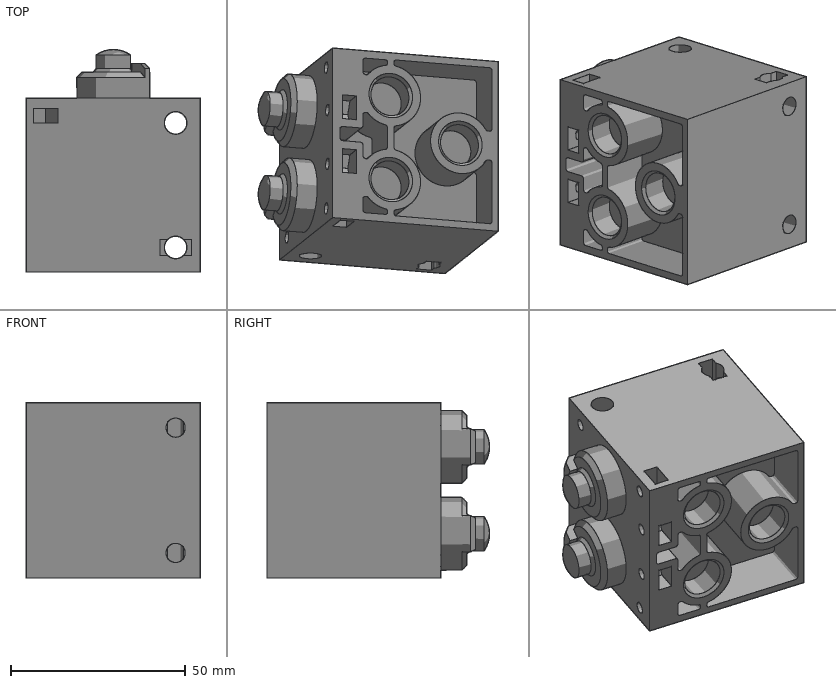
import cadquery as cq
import math

WIDTH = 50.0
LENGTH = 49.95
HEIGHT = 50.4
HALF_HEIGHT = HEIGHT / 2
OVERALL_LENGTH = 64

PORT_SPACING = 24.95
PORT_ROW_Y = 32.45
SINGLE_PORT_Y = 11.45
PORT_CENTRES = [
    (PORT_ROW_Y, PORT_SPACING / 2),
    (PORT_ROW_Y, -PORT_SPACING / 2),
    (SINGLE_PORT_Y, 0),
]
PORT_DIAMETER = 11.45
PORT_CHAMFER = 0.8
PORT_DEPTH = 8.0
BOSS_DIAMETER = 18.0

HOLLOW_DEPTH = 14.6
HOLLOW_FILLET = 0.8
NARROW_END_FILLET = 0.7
WALL_Y = 1.9
MAIN_HOLLOW_HALF_HEIGHT = 23.15
BACK_HOLLOW_HALF_HEIGHT = 22.95
RIB = 2.0
HOLLOW_BACK_Y = 40.8
BOSS_WEB = 11.25
SINGLE_BOSS_WEB = 8.6
STEM_END_Y = 47.7
STEM_WIDTH = 4.2

SLOT_LENGTH = 7.05
SLOT_WIDTH = 4.15
SLOT_Y = 44.9
SLOT_STRAIGHT_DEPTH = 6.0
SLOT_BOTTOM_SLOPE = 30
SIDE_SLOT_Z = 8.0
END_SLOT_X = 5.6
BACK_HOLE_DIAMETER = 3.25
END_LATCH_HOLE_DEPTH = 4.3
END_LATCH_HOLE_SHIFT = 0.5
SIDE_LATCH_HOLE_DEPTH = 5.0

MOUNT_DIAMETER = 6.4
MOUNT_INSET = 7.1
MOUNT_X = WIDTH - MOUNT_INSET
MOUNT_BACK_Y = LENGTH - MOUNT_INSET
NUT_POCKET_LENGTH = 9.0
NUT_POCKET_WIDTH = 4.5
NUT_POCKET_DEPTH = 10.25
CROSS_HOLE_DIAMETER = 5.5
CROSS_HOLE_Z = 18.0
BACK_HOLE_DEPTH = 5.0

PLUNGER_X = WIDTH / 2
CAP_RADIUS = 21.0 / 2
CAP_HEIGHT = 7.5
CAP_CHAMFER = 1.5
COLLAR_RISE = 1.0
COLLAR_STEP = 0.8
PIN_RADIUS = 10.0 / 2
PIN_SHOULDER = 12.4
TAB_HEIGHT = 10.0
TAB_ANGLE = 60
TAB_INNER_RADIUS = 6.1


def side_plane():
    """Sketch plane on the X = 0 face: local x is Y, local y is Z, pointing into the block."""
    return cq.Workplane("YZ")


def box_between(y0, y1, z0, z1):
    """Box sunk into the X = 0 face to the hollow depth."""
    box = side_plane().rect(y1 - y0, z1 - z0).extrude(HOLLOW_DEPTH)
    return box.translate((0, (y0 + y1) / 2, (z0 + z1) / 2))


def make_hollows():
    front_y = PORT_ROW_Y - RIB / 2
    back_y = PORT_ROW_Y + RIB / 2
    main_z = MAIN_HOLLOW_HALF_HEIGHT
    back_z = BACK_HOLLOW_HALF_HEIGHT

    hollows = box_between(WALL_Y, front_y, -main_z, main_z)
    hollows = hollows.union(box_between(back_y, HOLLOW_BACK_Y, -back_z, back_z))
    hollows = hollows.union(box_between(back_y, STEM_END_Y, -STEM_WIDTH / 2, STEM_WIDTH / 2))

    bosses = side_plane().pushPoints(PORT_CENTRES).circle(BOSS_DIAMETER / 2).extrude(HOLLOW_DEPTH)
    hollows = hollows.cut(bosses)
    for y, z in PORT_CENTRES[:2]:
        hollows = hollows.cut(box_between(y, HOLLOW_BACK_Y, z - BOSS_WEB / 2, z + BOSS_WEB / 2))
    hollows = hollows.cut(box_between(WALL_Y, SINGLE_PORT_Y, -SINGLE_BOSS_WEB / 2, SINGLE_BOSS_WEB / 2))

    bore_crest_z = PORT_SPACING / 2 + PORT_DIAMETER / 2

    def is_narrow_end(edge):
        middle = edge.Center()
        return abs(middle.z) > bore_crest_z and abs(middle.y - PORT_ROW_Y) < RIB

    hollows = hollows.edges("|X").filter(lambda edge: not is_narrow_end(edge)).fillet(HOLLOW_FILLET)
    return hollows.edges("|X").filter(is_narrow_end).fillet(NARROW_END_FILLET)


def make_ports():
    mouth = PORT_DIAMETER / 2 + PORT_CHAMFER
    bore = PORT_DIAMETER / 2
    profile = [(0, 0), (0, mouth), (PORT_CHAMFER, bore), (PORT_DEPTH, bore), (PORT_DEPTH, 0)]
    port = cq.Workplane("XY").polyline(profile).close().revolve(360, (0, 0, 0), (1, 0, 0))
    ports = cq.Workplane("XY")
    for y, z in PORT_CENTRES:
        ports = ports.union(port.translate((0, y, z)))
    return ports


def make_slot(hole_depth, hole_shift):
    """Slot cut downwards from the origin, long along X, with a hole from its +Y wall to the back face."""
    half = SLOT_LENGTH / 2
    apex_drop = half * math.tan(math.radians(SLOT_BOTTOM_SLOPE))
    outline = [
        (-half, 0),
        (half, 0),
        (half, -SLOT_STRAIGHT_DEPTH),
        (0, -SLOT_STRAIGHT_DEPTH - apex_drop),
        (-half, -SLOT_STRAIGHT_DEPTH),
    ]
    slot = cq.Workplane("XZ").polyline(outline).close().extrude(SLOT_WIDTH / 2, both=True)
    hole = cq.Workplane("XZ").center(hole_shift, -hole_depth).circle(BACK_HOLE_DIAMETER / 2)
    return slot.union(hole.extrude(-(LENGTH - SLOT_Y)))


def make_slots():
    top_slot = make_slot(END_LATCH_HOLE_DEPTH, END_LATCH_HOLE_SHIFT)
    top_slot = top_slot.translate((END_SLOT_X, SLOT_Y, HALF_HEIGHT))
    slots = top_slot.union(top_slot.mirror("XY"))
    side_slot = make_slot(SIDE_LATCH_HOLE_DEPTH, 0).rotate((0, 0, 0), (0, 1, 0), -90)
    for z in (SIDE_SLOT_Z, -SIDE_SLOT_Z):
        slots = slots.union(side_slot.translate((0, SLOT_Y, z)))
    return slots


def make_mounting_holes():
    mounts = [(MOUNT_X, MOUNT_INSET), (MOUNT_X, MOUNT_BACK_Y)]
    holes = cq.Workplane("XY").pushPoints(mounts).circle(MOUNT_DIAMETER / 2).extrude(HALF_HEIGHT, both=True)

    pocket = cq.Workplane("XY").box(NUT_POCKET_LENGTH, NUT_POCKET_WIDTH, NUT_POCKET_DEPTH)
    pocket = pocket.translate((MOUNT_X, MOUNT_INSET, HALF_HEIGHT - NUT_POCKET_DEPTH / 2))
    holes = holes.union(pocket).union(pocket.mirror("XY"))

    cross = [(MOUNT_X, CROSS_HOLE_Z), (MOUNT_X, -CROSS_HOLE_Z)]
    cross_holes = cq.Workplane("XZ").pushPoints(cross).circle(CROSS_HOLE_DIAMETER / 2)
    holes = holes.union(cross_holes.extrude(-MOUNT_INSET))

    back_hole_z = HALF_HEIGHT - BACK_HOLE_DEPTH
    back = [(MOUNT_X, back_hole_z), (MOUNT_X, -back_hole_z)]
    back_face = cq.Workplane("XZ").workplane(offset=-LENGTH)
    return holes.union(back_face.pushPoints(back).circle(BACK_HOLE_DIAMETER / 2).extrude(MOUNT_INSET))


def make_tab():
    """Sector of the cap that rises above the cap on its +X side."""
    blank = cq.Workplane("XZ").circle(CAP_RADIUS).extrude(-TAB_HEIGHT).faces(">Y").chamfer(CAP_CHAMFER)
    inside = cq.Workplane("XZ").workplane(offset=-CAP_HEIGHT).circle(TAB_INNER_RADIUS)
    blank = blank.cut(inside.extrude(CAP_HEIGHT - TAB_HEIGHT))
    half_width = CAP_RADIUS * math.tan(math.radians(TAB_ANGLE / 2))
    wedge = [(0, 0), (CAP_RADIUS, half_width), (CAP_RADIUS, -half_width)]
    return blank.intersect(cq.Workplane("XZ").polyline(wedge).close().extrude(-TAB_HEIGHT))


def make_plunger():
    """Plunger standing on the origin, pointing along +Y."""
    tip = OVERALL_LENGTH - LENGTH
    dome_rise = tip - PIN_SHOULDER
    dome_radius = (PIN_RADIUS**2 + dome_rise**2) / (2 * dome_rise)
    dome_half_angle = math.asin(PIN_RADIUS / dome_radius) / 2
    dome_mid = (
        dome_radius * math.sin(dome_half_angle),
        tip - dome_radius * (1 - math.cos(dome_half_angle)),
    )
    profile = (
        cq.Workplane("XY")
        .lineTo(CAP_RADIUS, 0)
        .lineTo(CAP_RADIUS, CAP_HEIGHT - CAP_CHAMFER)
        .lineTo(CAP_RADIUS - CAP_CHAMFER, CAP_HEIGHT)
        .lineTo(PIN_RADIUS + COLLAR_STEP, CAP_HEIGHT)
        .lineTo(PIN_RADIUS, CAP_HEIGHT + COLLAR_RISE)
        .lineTo(PIN_RADIUS, PIN_SHOULDER)
        .threePointArc(dome_mid, (0, tip))
        .close()
    )
    return profile.revolve(360, (0, 0, 0), (0, 1, 0)).union(make_tab())


block = cq.Workplane("XY").box(WIDTH, LENGTH, HEIGHT).translate((WIDTH / 2, LENGTH / 2, 0))
for cutter in (make_hollows(), make_ports(), make_slots(), make_mounting_holes()):
    block = block.cut(cutter)

result = block
for z in (PORT_SPACING / 2, -PORT_SPACING / 2):
    result = result.union(make_plunger().translate((PLUNGER_X, LENGTH, z)))